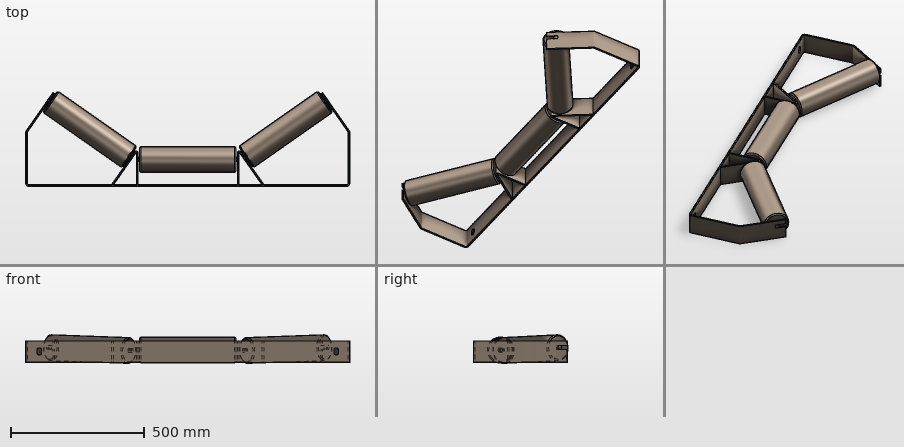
import cadquery as cq
import math


strip_height = 80.0
strip_thickness = 6.0

frame_length = 1210.0
bend_radius = 12.0
wall_corner_y = 205.0
arm_length = 178.0
trough_angle = 35.0
mount_slot_x = 554.0
mount_slot_z = 41.0
mount_slot_width = 18.0
mount_slot_height = 27.0

bracket_bend_radius = 7.0
bracket_inner_radius = bracket_bend_radius - strip_thickness

roller_length = 360.0
roller_diameter = 97.0
roller_edge_chamfer = 5.0
roller_end_gap = 5.0
shaft_diameter = 17.0
shaft_flat_height = 15.0
center_roller_y = 100.0
center_roller_z = 46.0
wing_roller_y = 213.0
wing_roller_z = 50.0
wing_tilt = 1.7

support_near = roller_length / 2 + roller_end_gap
support_far = support_near + strip_thickness
half_length = frame_length / 2
sin_trough = math.sin(math.radians(trough_angle))
cos_trough = math.cos(math.radians(trough_angle))
tan_trough = math.tan(math.radians(trough_angle))
tan_half_trough = math.tan(math.radians(trough_angle / 2))

wing_rise = wing_roller_y - wall_corner_y
wing_roller_x = half_length - (support_far + wing_rise * sin_trough) / cos_trough


def mirrored(shape):
    """Return the copy on the other side of X = 0."""
    return shape.mirror("YZ")


def place_right_wing(shape):
    """Move a shape built along X at the origin to the place of the right wing roller."""
    return (
        shape.rotate((0, 0, 0), (0, 1, 0), -wing_tilt)
        .rotate((0, 0, 0), (0, 0, 1), trough_angle)
        .translate((wing_roller_x, wing_roller_y, wing_roller_z))
    )


def place_center(shape):
    """Move a shape built along X at the origin to the place of the center roller."""
    return shape.translate((0, center_roller_y, center_roller_z))


def centered_cylinder(diameter, length):
    """Cylinder along X with its middle at the origin."""
    return cq.Workplane("YZ", origin=(-length / 2, 0, 0)).circle(diameter / 2).extrude(length)


def make_shaft(length):
    """Shaft along X with flats above and below, its middle at the origin."""
    rod = centered_cylinder(shaft_diameter, length)
    flats = cq.Workplane("XY").box(length, shaft_diameter, shaft_flat_height)
    return rod.intersect(flats)


def make_roller():
    """Chamfered roller along X, in one piece with a shaft that ends flush with its supports."""
    drum = centered_cylinder(roller_diameter, roller_length).faces("<X or >X").chamfer(roller_edge_chamfer)
    return drum.union(make_shaft(2 * support_far))


def make_seat_cutter():
    """Shaft shape long enough to pass right through both supports of a roller."""
    return make_shaft(2 * (support_far + strip_thickness))


def make_arm_slot():
    """Cutter for the right arm: the shaft seat, open towards the free end of the arm."""
    opening = (
        cq.Workplane("XY")
        .box(2 * strip_thickness, arm_length, shaft_flat_height, centered=(True, False, True))
        .translate(((support_near + support_far) / 2, 0, 0))
    )
    return place_right_wing(opening.union(make_seat_cutter()))


def frame_profile(inset):
    """Plan points from the left free end round to the right one, at a depth inside the outer face."""
    wall_x = half_length - inset
    corner_y = wall_corner_y - inset * tan_half_trough
    end_x = half_length - arm_length * sin_trough - inset * cos_trough
    end_y = wall_corner_y + arm_length * cos_trough - inset * sin_trough
    right = [(wall_x, inset), (wall_x, corner_y), (end_x, end_y)]
    left = [(-x, y) for x, y in reversed(right)]
    return left + right


def make_frame():
    outer = frame_profile(0)
    inner = frame_profile(strip_thickness)
    strip = cq.Workplane("XY").polyline(outer + inner[::-1]).close().extrude(strip_height)

    for profile, radius in ((outer, bend_radius), (inner, bend_radius - strip_thickness)):
        for x, y in profile[1:-1]:
            bend_edge = cq.selectors.NearestToPointSelector((x, y, strip_height / 2))
            strip = strip.edges("|Z").edges(bend_edge).fillet(radius)

    mount_slots = (
        cq.Workplane("XZ")
        .pushPoints([(-mount_slot_x, mount_slot_z), (mount_slot_x, mount_slot_z)])
        .slot2D(mount_slot_height, mount_slot_width, 90)
        .extrude(-strip_thickness)
    )
    arm_slot = make_arm_slot()
    return strip.cut(mount_slots).cut(arm_slot).cut(mirrored(arm_slot))


def inclined_leg_point(y, depth):
    """Plan point of the right bracket's inclined leg at this Y, at a depth behind its roller face."""
    distance = support_near + depth
    face_x = wing_roller_x - distance * cos_trough
    face_y = wing_roller_y - distance * sin_trough
    return face_x + (face_y - y) * tan_trough, y


def inclined_leg_y(x, depth):
    """Y at which the inclined leg, at a depth behind its roller face, reaches this X."""
    base_x, base_y = inclined_leg_point(0, depth)
    return base_y + (base_x - x) / tan_trough


def make_right_bracket():
    foot_y = strip_thickness
    outer_tip = (support_near, inclined_leg_y(support_near, 0))
    inner_tip = (support_far, inclined_leg_y(support_far, strip_thickness))
    outline = [
        (support_near, foot_y),
        outer_tip,
        inclined_leg_point(foot_y, 0),
        inclined_leg_point(foot_y, strip_thickness),
        inner_tip,
        (support_far, foot_y),
    ]
    bracket = cq.Workplane("XY").polyline(outline).close().extrude(strip_height)
    for (x, y), radius in ((outer_tip, bracket_bend_radius), (inner_tip, bracket_inner_radius)):
        bend_edge = cq.selectors.NearestToPointSelector((x, y, strip_height / 2))
        bracket = bracket.edges("|Z").edges(bend_edge).fillet(radius)

    return bracket.cut(place_center(make_seat_cutter())).cut(place_right_wing(make_seat_cutter()))


frame = make_frame()
right_bracket = make_right_bracket()
brackets = [right_bracket, mirrored(right_bracket)]
center_roller = place_center(make_roller())
right_roller = place_right_wing(make_roller())
wing_rollers = [right_roller, mirrored(right_roller)]

bodies = [frame, *brackets, center_roller, *wing_rollers]
result = cq.Compound.makeCompound([body.solids().val() for body in bodies])